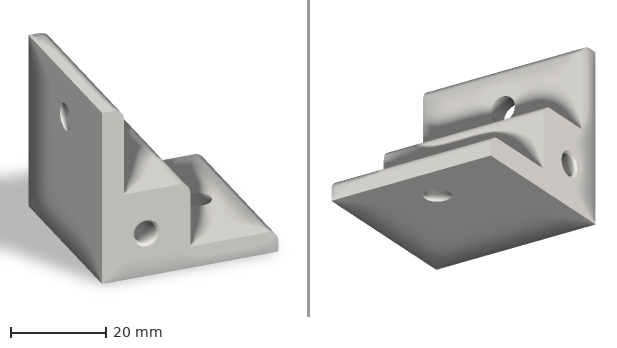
import cadquery as cq

size = 40.0
leg_thickness = size / 8
block_size = size / 2
edge_radius = leg_thickness / 2
leg_hole_diameter = 6.0
leg_hole_from_tip = size / 4
cross_hole_diameter = 5.0
cross_hole_mouth_diameter = 6.0
cross_hole_center = block_size / 2
mouth_depth = (cross_hole_mouth_diameter - cross_hole_diameter) / 2

middle = size / 2
leg_hole_position = size - leg_hole_from_tip

body = (
    cq.Workplane("YZ")
    .moveTo(0, 0)
    .lineTo(size, 0)
    .lineTo(size, leg_thickness - edge_radius)
    .radiusArc((size - edge_radius, leg_thickness), -edge_radius)
    .lineTo(block_size, leg_thickness)
    .lineTo(block_size, block_size - edge_radius)
    .radiusArc((block_size - edge_radius, block_size), -edge_radius)
    .lineTo(leg_thickness, block_size)
    .lineTo(leg_thickness, size - edge_radius)
    .radiusArc((leg_thickness - edge_radius, size), -edge_radius)
    .lineTo(0, size)
    .close()
    .extrude(size)
)

leg_hole_radius = leg_hole_diameter / 2
upright_hole = cq.Solid.makeCylinder(
    leg_hole_radius, leg_thickness, cq.Vector(middle, 0, leg_hole_position), cq.Vector(0, 1, 0)
)
base_hole = cq.Solid.makeCylinder(
    leg_hole_radius, leg_thickness, cq.Vector(middle, leg_hole_position, 0), cq.Vector(0, 0, 1)
)

cross_hole = cq.Solid.makeCylinder(
    cross_hole_diameter / 2,
    size,
    cq.Vector(0, cross_hole_center, cross_hole_center),
    cq.Vector(1, 0, 0),
)
body = body.cut(upright_hole).cut(base_hole).cut(cross_hole)

for end_x, inward in ((0, 1), (size, -1)):
    mouth = cq.Solid.makeCone(
        cross_hole_mouth_diameter / 2,
        cross_hole_diameter / 2,
        mouth_depth,
        cq.Vector(end_x, cross_hole_center, cross_hole_center),
        cq.Vector(inward, 0, 0),
    )
    body = body.cut(mouth)

result = body